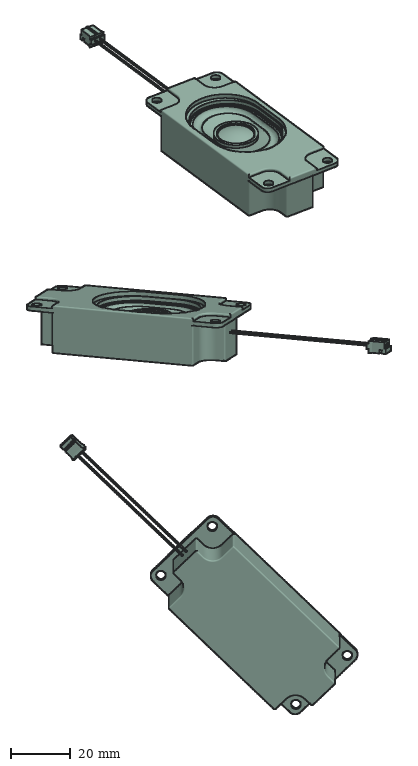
import cadquery as cq
import math

flange_length = 70.0
flange_width = 31.0
housing_height = 16.5
flange_bottom = 14.0
ear_top = 15.5
flange_corner_radius = 2.5
box_length = 66.0
neck_width = 11.3
shoulder_length = 50.6
notch_radius = 4.3
edge_round = 0.5
mount_hole_diameter = 3.2
mount_hole_spacing_x = 64.0
mount_hole_spacing_y = 24.3

speaker_x = -3.6
opening_length = 38.5
opening_width = 26.6
opening_depth = 1.5
seat_length = 35.4
seat_width = 25.9
seat_depth = 2.9
step_length = 34.9
step_width = 24.4
step_depth = 3.3
surround_length = 33.4
surround_width = 22.6
surround_dip = 1.4
cone_length = 26.2
cone_width = 17.7
cone_rim_drop = 0.6
cone_depth = 1.3
ring_outer_radius = 7.5
ring_inner_radius = 6.4
ring_height = 1.2
dome_radius = 6.1
dome_base_drop = 0.6
dome_rise = 1.2

wire_diameter = 0.6
wire_pitch = 1.9
wire_height = 9.0
overall_length = 124.35
plug_front = flange_length / 2 - overall_length
plug_width = 4.9
plug_bottom = 6.8
plug_top = 10.8
lip_length = 0.6
lip_top = 8.6
collar_start = 5.0
collar_end = 6.15
collar_width = 5.6
collar_drop = 0.15
tail_end = 6.85
tail_height = 1.9
key_width = 0.5
key_height = 0.35
socket_width = 0.75
socket_top = 9.8
socket_depth = 3.0
latch_notch_start = 1.5
latch_notch_end = 2.3
latch_notch_top = 8.0

surround_z = housing_height - step_depth
cone_rim_z = surround_z - cone_rim_drop
cone_bottom_z = cone_rim_z - cone_depth
coil_root_z = cone_bottom_z - 1.0
ring_top_z = cone_bottom_z + ring_height
dome_base_z = ring_top_z - dome_base_drop


def notched_block(length, bottom, top):
    """Block with a rounded notch taken out of each of its four corners."""
    neck = cq.Workplane("XY").box(length, neck_width, top - bottom, centered=(True, True, False))
    shoulder = cq.Workplane("XY").box(
        shoulder_length, flange_width, top - bottom, centered=(True, True, False)
    )
    block = shoulder.union(neck)
    inner_corner_x = (shoulder_length + notch_radius) / 2
    inner_corner_y = (neck_width + notch_radius) / 2
    inner_corners = cq.selectors.BoxSelector(
        (-inner_corner_x, -inner_corner_y, 0), (inner_corner_x, inner_corner_y, top - bottom)
    )
    block = block.edges("|Z").edges(inner_corners).fillet(notch_radius)
    return block.translate((0, 0, bottom))


def oval(length, width, z):
    """Slot outline with round ends, centred on the speaker."""
    return cq.Workplane("XY", origin=(speaker_x, 0, z)).slot2D(length, width)


def build_enclosure():
    box = notched_block(box_length, 0, flange_bottom)
    bottom_edges = box.faces("<Z").edges("not(<X or >X)").vals()
    shoulder_corners = box.faces("<Y or >Y").edges("|Z").vals()
    neck_corners = box.faces("<X or >X").edges("|Z").vals()
    box = box.newObject([*bottom_edges, *shoulder_corners, *neck_corners]).fillet(edge_round)
    flange = (
        cq.Workplane("XY", origin=(0, 0, flange_bottom))
        .rect(flange_length, flange_width)
        .extrude(ear_top - flange_bottom)
        .edges("|Z")
        .fillet(flange_corner_radius)
    )
    deck = notched_block(flange_length, ear_top, housing_height)
    deck = deck.faces(">Z").edges().fillet(edge_round)
    mount_holes = (
        cq.Workplane("XY")
        .rect(mount_hole_spacing_x, mount_hole_spacing_y, forConstruction=True)
        .vertices()
        .circle(mount_hole_diameter / 2)
        .extrude(housing_height)
    )
    return box.union(flange).union(deck).cut(mount_holes)


def build_recess():
    """Oval opening that narrows in two steps down to the surround."""
    opening = oval(opening_length, opening_width, housing_height).extrude(-opening_depth)
    seat = oval(seat_length, seat_width, housing_height).extrude(-seat_depth)
    step = oval(step_length, step_width, housing_height).extrude(-step_depth)
    return opening.union(seat).union(step)


def surround_section(angle):
    """Oval outline on the rolled surround, from its outer edge at 0 to the cone rim at 180 degrees."""
    share = (1 - math.cos(math.radians(angle))) / 2
    length = surround_length + share * (cone_length - surround_length)
    width = surround_width + share * (cone_width - surround_width)
    z = surround_z - share * cone_rim_drop - surround_dip * math.sin(math.radians(angle))
    return oval(length, width, z).wire().val()


def build_surround():
    """Cutter whose underside is the trough of the surround, closed flat across the cone rim."""
    sections = [surround_section(angle) for angle in range(0, 181, 30)]
    return cq.Workplane(cq.Solid.makeLoft(sections, False))


def build_cone():
    rim = oval(cone_length, cone_width, cone_rim_z).wire().val()
    throat_center = cq.Vector(speaker_x, 0, cone_bottom_z)
    throat = cq.Wire.makeCircle(ring_outer_radius, throat_center, cq.Vector(0, 0, 1))
    return cq.Workplane(cq.Solid.makeLoft([rim, throat], True))


def build_coil_and_dome():
    sphere_radius = (dome_radius**2 + dome_rise**2) / (2 * dome_rise)
    sphere_z = dome_base_z + dome_rise - sphere_radius
    mid_x = dome_radius / 2
    mid_z = sphere_z + math.sqrt(sphere_radius**2 - mid_x**2)
    profile = (
        cq.Workplane("XZ", origin=(speaker_x, 0, 0))
        .moveTo(0, coil_root_z)
        .lineTo(ring_outer_radius, coil_root_z)
        .lineTo(ring_outer_radius, ring_top_z)
        .lineTo(ring_inner_radius, ring_top_z)
        .lineTo(ring_inner_radius, dome_base_z)
        .lineTo(dome_radius, dome_base_z)
        .threePointArc((mid_x, mid_z), (0, dome_base_z + dome_rise))
        .close()
    )
    return profile.revolve(360, (0, 0, 0), (0, 1, 0))


housing = (
    build_enclosure()
    .cut(build_recess())
    .cut(build_surround())
    .cut(build_cone())
    .union(build_coil_and_dome())
)


def build_wire(y):
    start = plug_front + tail_end
    length = -box_length / 2 - start
    return cq.Workplane("YZ", origin=(start, y, wire_height)).circle(wire_diameter / 2).extrude(length)


wire_positions = [-wire_pitch / 2, wire_pitch / 2]
wires = [build_wire(y) for y in wire_positions]


def plug_block(start, end, width, bottom, top):
    return cq.Workplane("XY", origin=(plug_front + start, 0, bottom)).box(
        end - start, width, top - bottom, centered=(False, True, False)
    )


def build_collar():
    """Rear end of the plug body, flaring to the sides and downward."""
    body_height = plug_top - plug_bottom
    return (
        cq.Workplane("YZ", origin=(plug_front + collar_start, 0, plug_bottom + body_height / 2))
        .rect(plug_width, body_height)
        .workplane(offset=collar_end - collar_start)
        .center(0, -collar_drop / 2)
        .rect(collar_width, body_height + collar_drop)
        .loft()
    )


def build_plug():
    body = plug_block(lip_length, collar_end, plug_width, plug_bottom, plug_top)
    lip = plug_block(0, lip_length, plug_width, plug_bottom, lip_top)
    key = plug_block(lip_length, collar_end, key_width, plug_top, plug_top + key_height)
    tail = plug_block(
        collar_end, tail_end, collar_width, wire_height - tail_height / 2, wire_height + tail_height / 2
    )
    notch = plug_block(latch_notch_start, latch_notch_end, plug_width, plug_bottom, latch_notch_top)
    plug = body.union(lip).union(key).union(build_collar()).union(tail).cut(notch)
    for y in wire_positions:
        socket = plug_block(lip_length, lip_length + socket_depth, socket_width, lip_top, socket_top)
        plug = plug.cut(socket.translate((0, y, 0)))
    return plug


plug = build_plug()

result = cq.Compound.makeCompound([housing.val(), *[wire.val() for wire in wires], plug.val()])